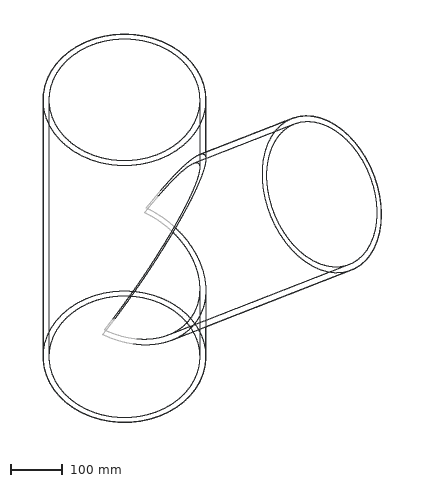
import cadquery as cq

main_length = 840.0
outer_diameter = 315.0
wall = 12.0
junction_height = 280.0
branch_length = 559.5
branch_angle = 45.0

inner_diameter = outer_diameter - 2 * wall


def main_cylinder(diameter):
    """Upright cylinder over the full height of the part."""
    return cq.Workplane("XY").circle(diameter / 2).extrude(main_length)


def branch_cylinder(diameter):
    """Tilted cylinder that starts at the axis junction."""
    return (
        cq.Workplane("XY")
        .circle(diameter / 2)
        .extrude(branch_length)
        .rotate((0, 0, 0), (0, 1, 0), branch_angle)
        .translate((0, 0, junction_height))
    )


body = main_cylinder(outer_diameter).union(branch_cylinder(outer_diameter))
result = body.cut(main_cylinder(inner_diameter)).cut(branch_cylinder(inner_diameter))